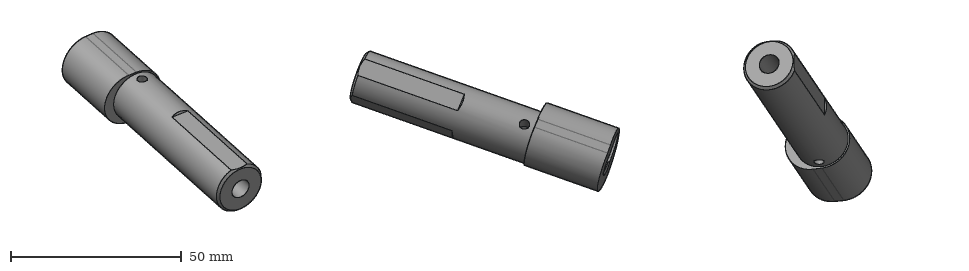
import cadquery as cq
import math

total_length = 78.0
head_length = 23.0
head_radius = 8.5
head_offset = 2.7

shank_radius = 8.0
end_chamfer = 0.75
flat_height = 7.5
flat_length = 32.0

bore_diameter = 6.0
bore_chamfer = 0.5
cross_hole_diameter = 3.0
cross_hole_x = 26.1

face_tilt = 3.0
slot_width = 6.0
slot_inner_center = 3.3
slot_outer_center = 6.95
slot_depth = 13.0
screw_hole_diameter = 3.3
screw_hole_depth = 14.0
drill_point_angle = 118.0

tilt = math.radians(face_tilt)
inclined_face = cq.Plane(
    origin=(0, 0, 0),
    xDir=(math.sin(tilt), -math.cos(tilt), 0),
    normal=(-math.cos(tilt), -math.sin(tilt), 0),
)


def make_head():
    """Oval head, extended from a round arc on the axis towards -Y."""
    return (
        cq.Workplane("YZ")
        .moveTo(0, head_radius)
        .threePointArc((head_radius, 0), (0, -head_radius))
        .lineTo(-head_offset, -head_radius)
        .threePointArc((-head_offset - head_radius, 0), (-head_offset, head_radius))
        .close()
        .extrude(head_length)
    )


def make_shank():
    """Round shank turned about X, chamfered at its free end."""
    return (
        cq.Workplane("XZ")
        .moveTo(0, 0)
        .lineTo(0, shank_radius)
        .lineTo(total_length - end_chamfer, shank_radius)
        .lineTo(total_length, shank_radius - end_chamfer)
        .lineTo(total_length, 0)
        .close()
        .revolve(360, (0, 0, 0), (1, 0, 0))
    )


def make_flat_cutter():
    """Material removed for the top flat, with a 45 degree run-out towards the head."""
    flat_start = total_length - flat_length
    cutter_rise = shank_radius
    return (
        cq.Workplane("XZ")
        .moveTo(flat_start, flat_height)
        .lineTo(total_length, flat_height)
        .lineTo(total_length, flat_height + cutter_rise)
        .lineTo(flat_start - cutter_rise, flat_height + cutter_rise)
        .close()
        .extrude(shank_radius, both=True)
    )


def make_bore():
    """Through bore with a countersunk mouth at the head end."""
    bore_radius = bore_diameter / 2
    return (
        cq.Workplane("XZ")
        .moveTo(0, 0)
        .lineTo(0, bore_radius + bore_chamfer)
        .lineTo(bore_chamfer, bore_radius)
        .lineTo(total_length, bore_radius)
        .lineTo(total_length, 0)
        .close()
        .revolve(360, (0, 0, 0), (1, 0, 0))
    )


def make_cross_hole():
    """Hole along Z that passes through the shank and the bore."""
    return (
        cq.Workplane("XY")
        .center(cross_hole_x, 0)
        .circle(cross_hole_diameter / 2)
        .extrude(shank_radius, both=True)
    )


def make_face_relief():
    """Wedge removed from the -Y half of the head to leave the inclined face."""
    reach = 2 * (head_radius + head_offset)
    return (
        cq.Workplane("XY")
        .moveTo(0, 0)
        .lineTo(reach * math.tan(tilt), -reach)
        .lineTo(0, -reach)
        .close()
        .extrude(reach, both=True)
    )


def make_slot():
    """Round-ended slot, square to the inclined face."""
    slot_length = slot_outer_center - slot_inner_center + slot_width
    slot_middle = (slot_inner_center + slot_outer_center) / 2
    return (
        cq.Workplane(inclined_face)
        .center(slot_middle, 0)
        .slot2D(slot_length, slot_width)
        .extrude(-slot_depth)
    )


def make_screw_hole():
    """Blind drilled hole in the slot floor, concentric with the outer slot end."""
    radius = screw_hole_diameter / 2
    point_depth = radius / math.tan(math.radians(drill_point_angle / 2))
    straight_depth = slot_depth + screw_hole_depth
    straight = (
        cq.Workplane(inclined_face)
        .center(slot_outer_center, 0)
        .circle(radius)
        .extrude(-straight_depth)
    )
    drill_point = cq.Solid.makeCone(
        radius,
        0,
        point_depth,
        inclined_face.toWorldCoords((slot_outer_center, 0, -straight_depth)),
        inclined_face.zDir * -1,
    )
    return straight.union(cq.Workplane(drill_point))


top_flat = make_flat_cutter()
side_flat = top_flat.rotate((0, 0, 0), (1, 0, 0), -90)

result = make_head().union(make_shank())
for cutter in (
    top_flat,
    side_flat,
    make_face_relief(),
    make_bore(),
    make_cross_hole(),
    make_slot(),
    make_screw_hole(),
):
    result = result.cut(cutter)